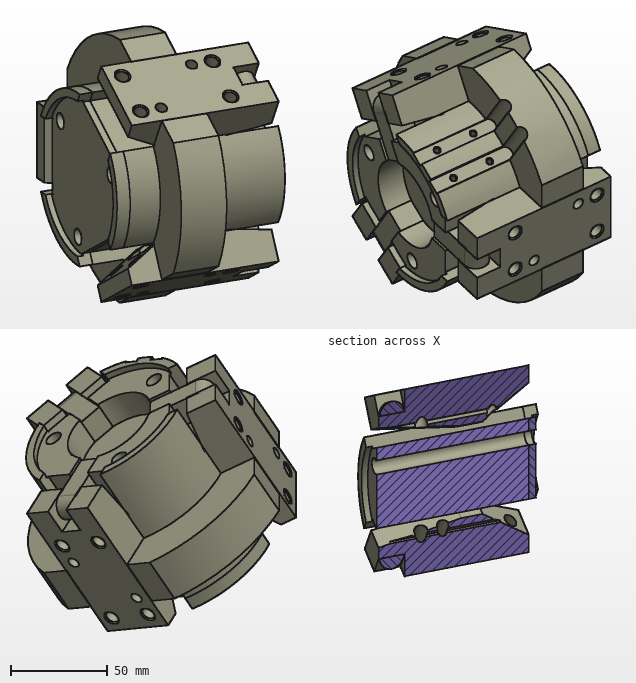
import cadquery as cq
import math


JAW_ANGLES = (60, 180, 300)

TOTAL_LENGTH = 97.0
COVER_BACK = 7.5
FACE_RECESS = 3.5
FLANGE_FRONT = 25.0
FLANGE_THICKNESS = 26.1
FLANGE_BACK = FLANGE_FRONT + FLANGE_THICKNESS
BACK_FACE = TOTAL_LENGTH - FACE_RECESS

FLANGE_RADIUS = 72.5
FLANGE_FLAT = 62.6
BODY_RADIUS = 47.5
RIM_WIDTH = 4.8
SLOT_FLOOR = 36.1
BORE_RADIUS = 24.6
BOLT_CIRCLE_RADIUS = 35.1
BOLT_HOLE_DIAMETER = 8.7
BOLT_ANGLES = (20, 140, 260)

JAW_LENGTH = 84.8
JAW_HALF_WIDTH = 20.9
JAW_OUTER = 63.0
JAW_INNER = 38.9
JAW_FRONT = COVER_BACK
JAW_BACK = JAW_FRONT + JAW_LENGTH
JAW_FRONT_INNER = 54.0
FRONT_SLANT = 30
JAW_BACK_INNER = 45.8
BACK_SLANT = 8.5
CHANNEL_HALF_WIDTH = 11.3
CHANNEL_FLOOR = 44.8
JAW_HOLE_OFFSET = 12.5
SCREW_HOLE_DIAMETER = 7.1
SCREW_CHAMFER = 0.7
PIN_HOLE_DIAMETER = 6.1
FRONT_SCREWS = 8.7
BACK_SCREWS = 60.6
FRONT_PIN = 20.6
BACK_PIN = 48.6

FINGER_WIDTH = 12.5
FINGER_HEIGHT = 14.4
FINGER_TIP = 58
FINGER_CENTRE = 84.8
FINGER_BOTTOM = FINGER_CENTRE - FINGER_HEIGHT / 2
FINGER_ROOT = math.sqrt(BORE_RADIUS**2 - (FINGER_WIDTH / 2) ** 2)

GROOVE_SECTOR = 120
GROOVE_OFFSET = 8.5
GROOVE_WIDTH = 7.7
GROOVE_FLOOR = 45.1
SENSOR_HOLE_DIAMETER = 2.9
SENSOR_CHAMFER = 0.51
SENSOR_HOLE_DEPTH = 7.2
SENSOR_HOLE_POSITIONS = (61.2, 84.1)


def turned(shape, angle):
    """Turn a shape from +X to the given angle in the XZ plane."""
    return shape.rotate((0, 0, 0), (0, 1, 0), -angle)


def polar(radius, angle):
    """Point in the XZ plane at a radius and an angle from +X towards +Z."""
    return (radius * math.cos(math.radians(angle)), radius * math.sin(math.radians(angle)))


def section(y):
    """Workplane across the gripper axis; a negative extrusion runs towards +Y."""
    return cq.Workplane("XZ", origin=(0, y, 0))


def block(inner, outer, half_width, front, back):
    """Rectangular block along +X, centred across its width."""
    return cq.Workplane("XY").box(
        outer - inner, back - front, 2 * half_width, centered=False
    ).translate((inner, front, -half_width))


def radial_cylinder(diameter, inner, outer, y, offset):
    """Cylinder whose axis is parallel to +X."""
    return (
        cq.Workplane("YZ", origin=(inner, y, offset))
        .circle(diameter / 2)
        .extrude(outer - inner)
    )


def chamfered_hole(diameter, chamfer, inner, outer, y, offset):
    """Cutter for a hole parallel to +X, widened by a chamfer at its outer end."""
    hole = radial_cylinder(diameter, inner, outer, y, offset)
    mouth = cq.Solid.makeCone(
        diameter / 2,
        diameter / 2 + chamfer,
        chamfer,
        pnt=cq.Vector(outer - chamfer, y, offset),
        dir=cq.Vector(1, 0, 0),
    )
    return hole.union(cq.Workplane(mouth))


def disc(radius, front, back):
    """Round disc across the gripper axis."""
    return section(front).circle(radius).extrude(front - back)


def make_flange():
    """Round flange with a flat behind each jaw."""
    flange = disc(FLANGE_RADIUS, FLANGE_FRONT, FLANGE_BACK)
    outside = block(FLANGE_FLAT, 2 * FLANGE_RADIUS, FLANGE_RADIUS, FLANGE_FRONT, FLANGE_BACK)
    for angle in JAW_ANGLES:
        flange = flange.cut(turned(outside, angle))
    return flange


def cut_jaw_slots(body):
    """Open a flat-bottomed slot for each jaw along the whole length."""
    slot = block(SLOT_FLOOR, 2 * FLANGE_RADIUS, JAW_HALF_WIDTH, 0, TOTAL_LENGTH)
    for angle in JAW_ANGLES:
        body = body.cut(turned(slot, angle))
    return body


def cut_bolt_holes(body):
    """Three bolt holes right through."""
    holes = (
        section(0)
        .pushPoints([polar(BOLT_CIRCLE_RADIUS, angle) for angle in BOLT_ANGLES])
        .circle(BOLT_HOLE_DIAMETER / 2)
        .extrude(-TOTAL_LENGTH)
    )
    return body.cut(holes)


def cut_finger_guides(body):
    """Central bore at the back, with a guide for each finger running out to its jaw slot."""
    bore = section(FINGER_BOTTOM).circle(BORE_RADIUS).extrude(FINGER_BOTTOM - TOTAL_LENGTH)
    body = body.cut(bore)
    guide = block(0, SLOT_FLOOR, FINGER_WIDTH / 2, FINGER_BOTTOM, TOTAL_LENGTH)
    for angle in JAW_ANGLES:
        body = body.cut(turned(guide, angle))
    return body


def cut_sensor_grooves(body):
    """Two grooves behind the flange, each with screw holes and a round channel out through the flange."""
    for offset in (-GROOVE_OFFSET, GROOVE_OFFSET):
        groove = block(
            GROOVE_FLOOR, FLANGE_RADIUS, GROOVE_WIDTH / 2, FLANGE_BACK, TOTAL_LENGTH
        ).translate((0, 0, offset))
        channel = radial_cylinder(GROOVE_WIDTH, GROOVE_FLOOR, FLANGE_RADIUS, FLANGE_BACK, offset)
        cutter = groove.union(channel)
        for y in SENSOR_HOLE_POSITIONS:
            hole_bottom = GROOVE_FLOOR - SENSOR_HOLE_DEPTH
            hole = chamfered_hole(
                SENSOR_HOLE_DIAMETER, SENSOR_CHAMFER, hole_bottom, GROOVE_FLOOR, y, offset
            )
            cutter = cutter.union(hole)
        body = body.cut(turned(cutter, GROOVE_SECTOR))
    return body


def make_housing():
    """Flanged housing, recessed at the back."""
    body = disc(BODY_RADIUS, COVER_BACK, TOTAL_LENGTH)
    body = body.union(make_flange())
    body = body.cut(disc(BODY_RADIUS - RIM_WIDTH, BACK_FACE, TOTAL_LENGTH))
    body = cut_jaw_slots(body)
    body = cut_bolt_holes(body)
    body = cut_finger_guides(body)
    return cut_sensor_grooves(body)


def make_cover():
    """Front cover with a raised rim."""
    body = disc(BODY_RADIUS, 0, COVER_BACK)
    body = body.cut(disc(BODY_RADIUS - RIM_WIDTH, 0, FACE_RECESS))
    body = cut_jaw_slots(body)
    return cut_bolt_holes(body)


def make_jaw(angle):
    """Jaw with slanted ends, a channel along its inner side and a slot at the back for its finger."""
    front_slant_length = (JAW_FRONT_INNER - JAW_INNER) / math.tan(math.radians(FRONT_SLANT))
    back_slant_length = (JAW_BACK_INNER - JAW_INNER) / math.tan(math.radians(BACK_SLANT))
    jaw = (
        cq.Workplane("XY", origin=(0, 0, -JAW_HALF_WIDTH))
        .moveTo(JAW_OUTER, JAW_FRONT)
        .lineTo(JAW_OUTER, JAW_BACK)
        .lineTo(JAW_BACK_INNER, JAW_BACK)
        .lineTo(JAW_INNER, JAW_BACK - back_slant_length)
        .lineTo(JAW_INNER, JAW_FRONT + front_slant_length)
        .lineTo(JAW_FRONT_INNER, JAW_FRONT)
        .close()
        .extrude(2 * JAW_HALF_WIDTH)
    )
    jaw = jaw.cut(block(0, CHANNEL_FLOOR, CHANNEL_HALF_WIDTH, JAW_FRONT, JAW_BACK))
    jaw = jaw.cut(block(0, JAW_OUTER, FINGER_WIDTH / 2, FINGER_BOTTOM, JAW_BACK))
    for offset in (-JAW_HOLE_OFFSET, JAW_HOLE_OFFSET):
        for position in (FRONT_SCREWS, BACK_SCREWS):
            y = JAW_FRONT + position
            jaw = jaw.cut(chamfered_hole(SCREW_HOLE_DIAMETER, SCREW_CHAMFER, 0, JAW_OUTER, y, offset))
    for position, offset in ((FRONT_PIN, -JAW_HOLE_OFFSET), (BACK_PIN, JAW_HOLE_OFFSET)):
        jaw = jaw.cut(radial_cylinder(PIN_HOLE_DIAMETER, 0, JAW_OUTER, JAW_FRONT + position, offset))
    return turned(jaw, angle)


def make_finger(angle):
    """Finger reaching from the central bore into the jaw, with a rounded tip."""
    half_height = FINGER_HEIGHT / 2
    tip_centre = FINGER_TIP - half_height
    finger = (
        cq.Workplane("XY", origin=(0, 0, -FINGER_WIDTH / 2))
        .moveTo(FINGER_ROOT, FINGER_CENTRE - half_height)
        .lineTo(tip_centre, FINGER_CENTRE - half_height)
        .threePointArc((FINGER_TIP, FINGER_CENTRE), (tip_centre, FINGER_CENTRE + half_height))
        .lineTo(FINGER_ROOT, FINGER_CENTRE + half_height)
        .close()
        .extrude(FINGER_WIDTH)
    )
    return turned(finger, angle)


housing = make_housing()
cover = make_cover()
jaws = [make_jaw(angle) for angle in JAW_ANGLES]
fingers = [make_finger(angle) for angle in JAW_ANGLES]

result = cq.Compound.makeCompound(
    [housing.val(), cover.val(), *[jaw.val() for jaw in jaws], *[finger.val() for finger in fingers]]
)